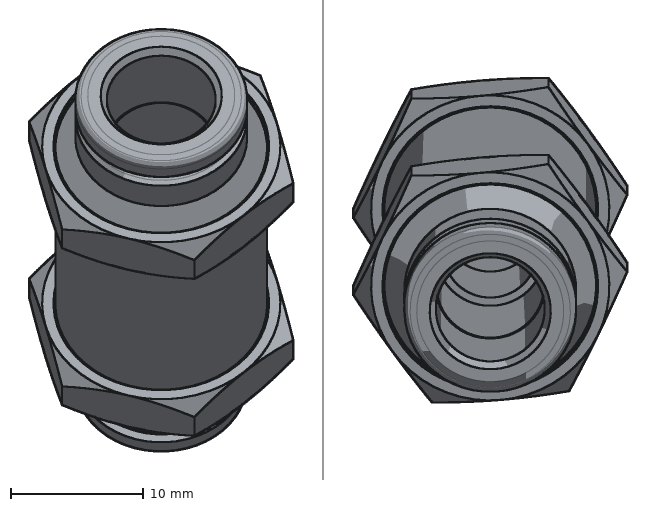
import cadquery as cq
import math

total_length = 37.0
end_z = total_length / 2

across_flats = 18.0
across_corners = across_flats / math.cos(math.radians(30))
nut_height = 4.0
nut_setback = 6.48
nut_chamfer_angle = math.radians(30)
nut_bore_chamfer = 0.15

barrel_diameter = 16.0
shoulder_diameter = 13.0
shoulder_setback = 2.55
shoulder_rim_diameter = 12.15
shoulder_rim_drop = 0.1
cone_setback = 5.25
tube_bore_diameter = 8.1
through_bore_diameter = 7.0
tube_stop_setback = 14.8
tube_stop_angle = math.radians(30)

flange_diameter = shoulder_diameter
flange_thickness = 1.55
flange_edge_radius = 0.45
flange_face_diameter = 11.1
flange_face_drop = 0.07
neck_diameter = 11.5
collar_length = nut_setback
collar_bore_diameter = 8.2
mouth_diameter = 9.15
mouth_depth = 0.5


def revolve_about_z(profile):
    """Revolve a closed XZ profile, drawn as radius and height, about Z."""
    return profile.close().revolve(360, (0, 0, 0), (0, 1, 0))


def mirror_to(body, end):
    """Keep a body at the top end (1) or mirror it to the bottom end (-1)."""
    return body if end > 0 else body.mirror("XY")


def make_housing():
    barrel_r = barrel_diameter / 2
    shoulder_r = shoulder_diameter / 2
    socket_r = neck_diameter / 2
    tube_r = tube_bore_diameter / 2
    through_r = through_bore_diameter / 2
    shoulder_z = end_z - shoulder_setback
    cone_z = end_z - cone_setback
    socket_floor_z = end_z - collar_length
    stop_z = end_z - tube_stop_setback
    stop_drop = (tube_r - through_r) * math.tan(tube_stop_angle)
    upper_half = [
        (barrel_r, cone_z - (barrel_r - shoulder_r)),
        (shoulder_r, cone_z),
        (shoulder_r, shoulder_z - shoulder_rim_drop),
        (shoulder_rim_diameter / 2, shoulder_z),
        (socket_r, shoulder_z),
        (socket_r, socket_floor_z),
        (tube_r, socket_floor_z),
        (tube_r, stop_z),
        (through_r, stop_z - stop_drop),
    ]
    lower_half = [(radius, -height) for radius, height in reversed(upper_half)]
    return revolve_about_z(cq.Workplane("XZ").polyline(upper_half + lower_half))


def make_nut(end):
    nut_bottom_z = end_z - nut_setback - nut_height
    flat_r = across_flats / 2
    corner_r = across_corners / 2
    chamfer_drop = (corner_r - flat_r) * math.tan(nut_chamfer_angle)
    hexagon = (
        cq.Workplane("XY")
        .polygon(6, across_corners)
        .circle(barrel_diameter / 2)
        .extrude(nut_height)
        .faces("<Z or >Z")
        .edges("%CIRCLE")
        .chamfer(nut_bore_chamfer)
    )
    envelope = revolve_about_z(
        cq.Workplane("XZ")
        .moveTo(0, 0)
        .lineTo(flat_r, 0)
        .lineTo(corner_r, chamfer_drop)
        .lineTo(corner_r, nut_height - chamfer_drop)
        .lineTo(flat_r, nut_height)
        .lineTo(0, nut_height)
    )
    nut = hexagon.intersect(envelope).translate((0, 0, nut_bottom_z))
    return mirror_to(nut, end)


def make_collar(end):
    flange_r = flange_diameter / 2
    neck_r = neck_diameter / 2
    bore_r = collar_bore_diameter / 2
    flange_bottom_z = end_z - flange_thickness
    neck_bottom_z = end_z - collar_length
    edge_top_z = end_z - flange_face_drop
    edge_inset = flange_edge_radius * (1 - math.cos(math.radians(45)))
    collar = revolve_about_z(
        cq.Workplane("XZ")
        .moveTo(bore_r, neck_bottom_z)
        .lineTo(neck_r, neck_bottom_z)
        .lineTo(neck_r, flange_bottom_z)
        .lineTo(flange_r, flange_bottom_z)
        .lineTo(flange_r, edge_top_z - flange_edge_radius)
        .threePointArc(
            (flange_r - edge_inset, edge_top_z - edge_inset),
            (flange_r - flange_edge_radius, edge_top_z),
        )
        .lineTo(flange_face_diameter / 2, end_z)
        .lineTo(mouth_diameter / 2, end_z)
        .lineTo(bore_r, end_z - mouth_depth)
    )
    return mirror_to(collar, end)


ends = (1, -1)
housing = make_housing()
nuts = [make_nut(end) for end in ends]
collars = [make_collar(end) for end in ends]

result = cq.Compound.makeCompound([
    housing.val(),
    *[nut.solids().val() for nut in nuts],
    *[collar.val() for collar in collars],
])